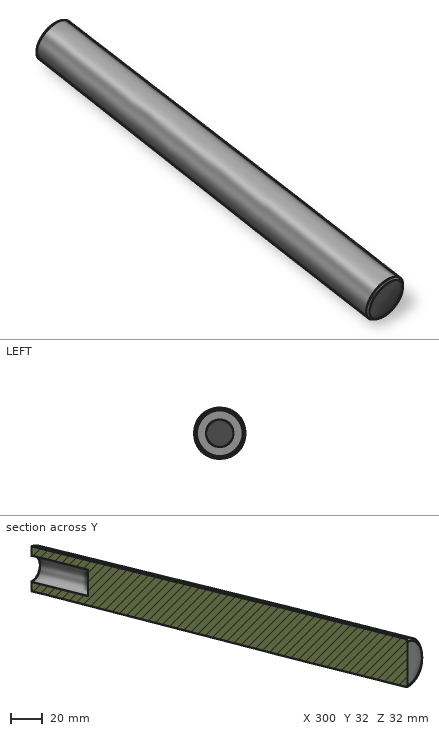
import cadquery as cq

length = 300.0
shank_diameter = 32.0
shank_length = length / 3
nose_diameter = 30.0
end_chamfer = 1.5
nose_chamfer = 0.5

bore_diameter = 17.0
bore_depth = 45.0

shank_radius = shank_diameter / 2
nose_radius = nose_diameter / 2
taper_length = length - shank_length


def make_bar():
    """Tapered neck and cylindrical shank, revolved about the X axis."""
    half_profile = (
        cq.Workplane("XY")
        .moveTo(0, 0)
        .lineTo(0, nose_radius - nose_chamfer)
        .lineTo(nose_chamfer, nose_radius)
        .lineTo(taper_length, shank_radius)
        .lineTo(length - end_chamfer, shank_radius)
        .lineTo(length, shank_radius - end_chamfer)
        .lineTo(length, 0)
        .close()
    )
    return half_profile.revolve(360, (0, 0, 0), (1, 0, 0))


def make_bore():
    """Flat-bottomed bore entering from the nose face."""
    return cq.Workplane("YZ").circle(bore_diameter / 2).extrude(bore_depth)


result = make_bar().cut(make_bore())